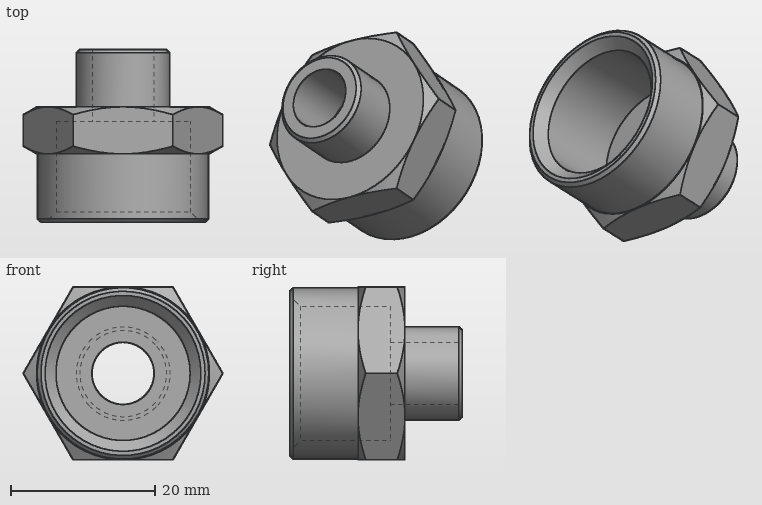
import cadquery as cq
import math

corner_width = 27.7
flat_width = corner_width * math.cos(math.pi / 6)
hex_length = 6.5
hex_chamfer_angle = math.radians(30)

total_length = 24.0
large_diameter = 23.78
large_length = 9.5
small_diameter = 13.0
edge_chamfer = 0.5
through_diameter = 8.6
bore_diameter = 18.62
bore_depth = 14.0
mouth_diameter = 21.6
mouth_depth = (mouth_diameter - bore_diameter) / 2

front_y = -total_length / 2
hex_front_y = front_y + large_length
hex_back_y = hex_front_y + hex_length
back_y = total_length / 2


def revolve_profile(points):
    """Revolve a (radius, y) outline about the Y axis."""
    return cq.Workplane("XY").polyline(points).close().revolve(360, (0, 0, 0), (0, 1, 0))


def make_hexagon():
    """Hexagon with corners on X, its corners bevelled conically at both ends."""
    prism = (
        cq.Workplane("XZ", origin=(0, hex_back_y, 0))
        .polygon(6, corner_width)
        .extrude(hex_length)
    )
    face_radius = flat_width / 2
    corner_radius = corner_width / 2
    bevel = (corner_radius - face_radius) * math.tan(hex_chamfer_angle)
    bevel_envelope = revolve_profile([
        (0, hex_front_y),
        (face_radius, hex_front_y),
        (corner_radius, hex_front_y + bevel),
        (corner_radius, hex_back_y - bevel),
        (face_radius, hex_back_y),
        (0, hex_back_y),
    ])
    return prism.intersect(bevel_envelope)


def make_spigots():
    """Large front spigot and small rear spigot, each with a chamfered end."""
    large_radius = large_diameter / 2
    small_radius = small_diameter / 2
    return revolve_profile([
        (0, front_y),
        (large_radius - edge_chamfer, front_y),
        (large_radius, front_y + edge_chamfer),
        (large_radius, hex_front_y),
        (small_radius, hex_front_y),
        (small_radius, back_y - edge_chamfer),
        (small_radius - edge_chamfer, back_y),
        (0, back_y),
    ])


def make_bore():
    """Countersunk front bore that steps down to the through hole."""
    bore_radius = bore_diameter / 2
    through_radius = through_diameter / 2
    return revolve_profile([
        (0, front_y),
        (mouth_diameter / 2, front_y),
        (bore_radius, front_y + mouth_depth),
        (bore_radius, front_y + bore_depth),
        (through_radius, front_y + bore_depth),
        (through_radius, back_y),
        (0, back_y),
    ])


result = make_hexagon().union(make_spigots()).cut(make_bore())